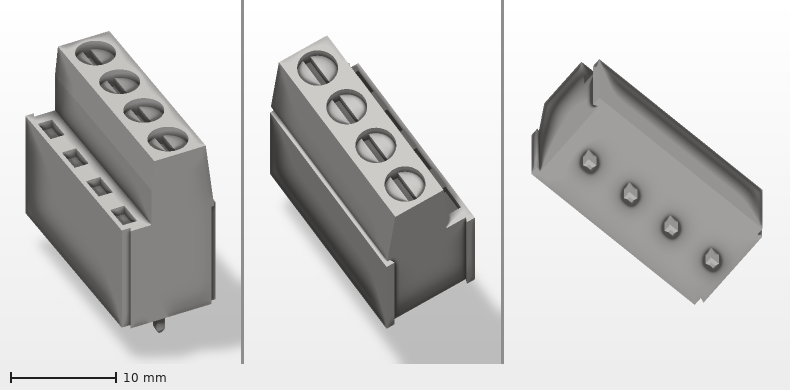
import cadquery as cq

pole_count = 4
body_length = 20.32
pole_pitch = body_length / pole_count
pole_centers = [(i + 0.5) * pole_pitch for i in range(pole_count)]

body_depth = 10.0
body_height = 11.55
hook_reach = 0.5
hook_tip_width = 0.9
hook_root_width = 0.7

total_height = 22.5
pin_length = 3.49
top_z = total_height - pin_length
upper_front_y = 2.9
upper_back_y = 9.58
top_front_y = 3.22
top_back_y = 8.68
front_taper_height = 3.33

screw_diameter = 3.9
screw_y = 5.95
screw_recess = 1.0
slot_width = 0.83
slot_depth = 1.0

pocket_length = 2.7
pocket_width = 1.5
pocket_front_y = 0.47
pocket_depth = 1.0

pin_width = 1.0
pin_thickness = 0.8
pin_y = 5.0
pin_tip_height = 0.5
pin_tip_inset = 0.25


def end_outline(x):
    """Front-to-back outline of one housing end whose flat wall lies at x."""
    return [
        (x - hook_reach, 0),
        (x - hook_reach, hook_tip_width),
        (x, hook_root_width),
        (x, body_depth - hook_root_width),
        (x - hook_reach, body_depth - hook_tip_width),
        (x - hook_reach, body_depth),
    ]


def lower_housing():
    """Hooks on the left end match the notches on the right end, so blocks can be chained."""
    outline = end_outline(0) + end_outline(body_length)[::-1]
    return cq.Workplane("XY").polyline(outline).close().extrude(body_height)


def upper_housing():
    profile = [
        (upper_front_y, body_height),
        (upper_front_y, top_z - front_taper_height),
        (top_front_y, top_z),
        (top_back_y, top_z),
        (upper_back_y, body_height),
    ]
    return cq.Workplane("YZ").polyline(profile).close().extrude(body_length)


def screw_recess_cut(x):
    """Round recess with a straight driver slot across its floor."""
    floor_z = top_z - screw_recess
    floor_plane = cq.Workplane("XY", origin=(x, screw_y, floor_z))
    recess = floor_plane.circle(screw_diameter / 2).extrude(screw_recess)
    slot_plane = cq.Workplane("XY", origin=(x, screw_y, floor_z - slot_depth))
    slot = slot_plane.rect(screw_diameter, slot_width).extrude(slot_depth)
    screw_head = slot_plane.circle(screw_diameter / 2).extrude(slot_depth)
    return recess.union(slot.intersect(screw_head))


def pocket_cut(x):
    center_y = pocket_front_y + pocket_width / 2
    floor = cq.Workplane("XY", origin=(x, center_y, body_height - pocket_depth))
    return floor.rect(pocket_length, pocket_width).extrude(pocket_depth)


def solder_pin(x):
    """Rectangular pin with a tapered tip."""
    shank_length = pin_length - pin_tip_height
    shank = cq.Workplane("XY", origin=(x, pin_y, 0)).rect(pin_width, pin_thickness).extrude(-shank_length)
    tip = (
        cq.Workplane("XY", origin=(x, pin_y, -pin_length))
        .rect(pin_width - 2 * pin_tip_inset, pin_thickness - 2 * pin_tip_inset)
        .workplane(offset=pin_tip_height)
        .rect(pin_width, pin_thickness)
        .loft(ruled=True)
    )
    return shank.union(tip)


result = lower_housing().union(upper_housing())
for pole_x in pole_centers:
    result = result.cut(screw_recess_cut(pole_x))
    result = result.cut(pocket_cut(pole_x))
    result = result.union(solder_pin(pole_x))